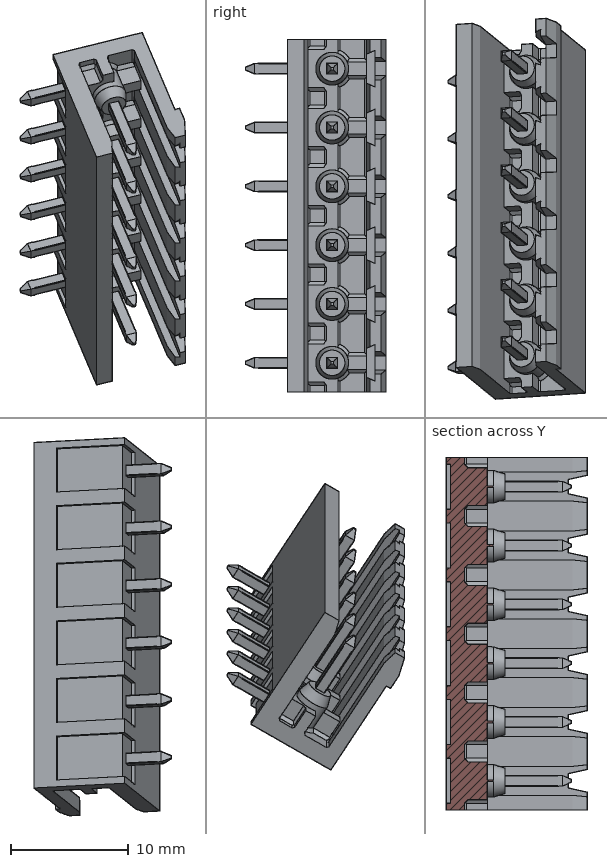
import cadquery as cq

length = 30.0
pin_count = 6
pitch = length / pin_count
pin_heights = [(i + 0.5) * pitch for i in range(pin_count)]

depth = 12.0
body_width = 7.98
wall = 1.55
front_arm = 1.77
latch_arm_inner = 6.72
front_arm_tip = 1.4
latch_arm_tip_inner = 7.02
latch_arm_tip_outer = 7.95
lead_in_start = 10.75
corner_bevel = 0.15
selection_margin = 0.03

hook_start = 9.0
hook_end = 10.38
hook_top = 8.4

slot_floor = 7.47
slot_mouth_half = 1.23
slot_floor_half = 1.55
window_half = 0.6
window_mouth_half = 0.95

seat_front = 3.5
seat_ramp = 0.3
rib_width = 1.0
front_seat_half = 1.62
rear_seat_half = 0.57
rib_foot_width = 0.2
rib_foot_height = 0.3
boss_diameter = 2.8
boss_shoulder = 4.02
boss_tip = 5.0
boss_tip_diameter = 2.15

pocket_height = 3.8
pocket_back_width = 6.0
pocket_front_width = 3.48
pocket_back_depth = 0.35
pocket_front_depth = 0.3

pin_size = 0.93
pin_bevel = 0.05
pin_neck_size = 0.9
pin_point_size = 0.25
pin_neck_length = 0.4
pin_point_length = 0.78
pin_y = 3.8
tail_x = 2.05
pin_tip_x = 10.65
tail_tip_y = -3.57


def box(x0, x1, y0, y1, z0, z1):
    return cq.Workplane("XY").box(x1 - x0, y1 - y0, z1 - z0, centered=False).translate((x0, y0, z0))


def make_housing():
    """Open channel with a full-length rib and bevelled inner corners at the back wall."""
    outline = [
        (0, 0),
        (depth, 0),
        (depth, front_arm_tip),
        (lead_in_start, front_arm),
        (wall, front_arm),
        (wall, latch_arm_inner),
        (lead_in_start, latch_arm_inner),
        (depth, latch_arm_tip_inner),
        (depth, latch_arm_tip_outer),
        (hook_end, hook_top),
        (hook_start, hook_top),
        (hook_start, body_width),
        (0, body_width),
    ]
    channel = cq.Workplane("XY").polyline(outline).close().extrude(length)
    rib = box(wall, seat_front, pin_y - rib_width / 2, pin_y + rib_width / 2, 0, length)
    housing = channel.union(rib)
    near_wall = (wall - selection_margin, 0, 0)
    far_wall = (wall + selection_margin, body_width, length)
    on_wall = cq.selectors.BoxSelector(near_wall, far_wall)
    return housing.edges("|Z").edges(on_wall).chamfer(corner_bevel)


def make_seat_block(y0, y1, half_height):
    """Block whose top and bottom ramp outward where they meet the back wall."""
    ramp_end = wall + seat_ramp
    wall_half = half_height + seat_ramp
    profile = [
        (wall, -wall_half),
        (ramp_end, -half_height),
        (seat_front, -half_height),
        (seat_front, half_height),
        (ramp_end, half_height),
        (wall, wall_half),
    ]
    return cq.Workplane("XZ", origin=(0, y0, 0)).polyline(profile).close().extrude(y0 - y1)


def make_rib_foot():
    """Sloped foot where the front block meets the rib, above and below."""
    rib_face = pin_y - rib_width / 2
    foot_edge = rib_face - rib_foot_width
    top = front_seat_half + rib_foot_height
    profile = [
        (foot_edge, -front_seat_half),
        (rib_face, -top),
        (rib_face, top),
        (foot_edge, front_seat_half),
    ]
    return cq.Workplane("YZ", origin=(wall, 0, 0)).polyline(profile).close().extrude(seat_front - wall)


def make_seat():
    """Stepped block and round boss around a pin at Z = 0."""
    boss_radius = boss_diameter / 2
    boss_profile = [
        (wall, 0),
        (wall, boss_radius + seat_ramp),
        (wall + seat_ramp, boss_radius),
        (boss_shoulder, boss_radius),
        (boss_tip, boss_tip_diameter / 2),
        (boss_tip, 0),
    ]
    boss = cq.Workplane("XY").polyline(boss_profile).close().revolve(360, (0, 0), (1, 0))
    front_block = make_seat_block(front_arm, pin_y, front_seat_half)
    rear_block = make_seat_block(pin_y, latch_arm_inner, rear_seat_half)
    blocks = front_block.union(rear_block).union(make_rib_foot())
    return blocks.union(boss.translate((0, pin_y, 0)))


def make_latch_slot():
    """Dovetail slot with a flared through window at the mouth, centred on Z = 0."""
    dovetail = [
        (latch_arm_inner, -slot_mouth_half),
        (latch_arm_inner, slot_mouth_half),
        (slot_floor, slot_floor_half),
        (slot_floor, -slot_floor_half),
    ]
    slot = cq.Workplane("YZ").workplane(offset=wall).polyline(dovetail).close().extrude(depth - wall)
    window = [
        (hook_end, -window_half),
        (depth, -window_mouth_half),
        (depth, window_mouth_half),
        (hook_end, window_half),
    ]
    opening = cq.Workplane("XZ", origin=(0, latch_arm_inner, 0)).polyline(window).close()
    return slot.union(opening.extrude(latch_arm_inner - hook_top))


def make_pocket():
    """Pocket centred on Z = 0 that wraps from the back face onto the front face."""
    half = pocket_height / 2
    back = box(0, pocket_back_depth, 0, pocket_back_width, -half, half)
    front = box(0, pocket_front_width, 0, pocket_front_depth, -half, half)
    return back.union(front)


def make_pin_leg(leg_length):
    """Bevelled square leg along +Z with a two-stage point."""
    neck_start = leg_length - pin_point_length - pin_neck_length
    shank = cq.Workplane("XY").rect(pin_size, pin_size).extrude(neck_start)
    neck = (
        cq.Workplane("XY", origin=(0, 0, neck_start))
        .rect(pin_size, pin_size)
        .workplane(offset=pin_neck_length)
        .rect(pin_neck_size, pin_neck_size)
        .loft(ruled=True)
    )
    point = (
        cq.Workplane("XY", origin=(0, 0, neck_start + pin_neck_length))
        .rect(pin_neck_size, pin_neck_size)
        .workplane(offset=pin_point_length)
        .rect(pin_point_size, pin_point_size)
        .loft(ruled=True)
    )
    return shank.edges("|Z").chamfer(pin_bevel).union(neck).union(point)


def make_pin():
    """Right-angle pin at Z = 0 with a contact along +X and a tail along -Y."""
    contact = make_pin_leg(pin_tip_x - tail_x).rotate((0, 0, 0), (0, 1, 0), 90)
    tail = make_pin_leg(pin_y - tail_tip_y).rotate((0, 0, 0), (1, 0, 0), 90)
    return contact.union(tail).translate((tail_x, pin_y, 0))


seat_and_pin = make_seat().union(make_pin())
recesses = make_latch_slot().union(make_pocket())

result = make_housing()
for pin_z in pin_heights:
    offset = (0, 0, pin_z)
    result = result.cut(recesses.translate(offset)).union(seat_and_pin.translate(offset))